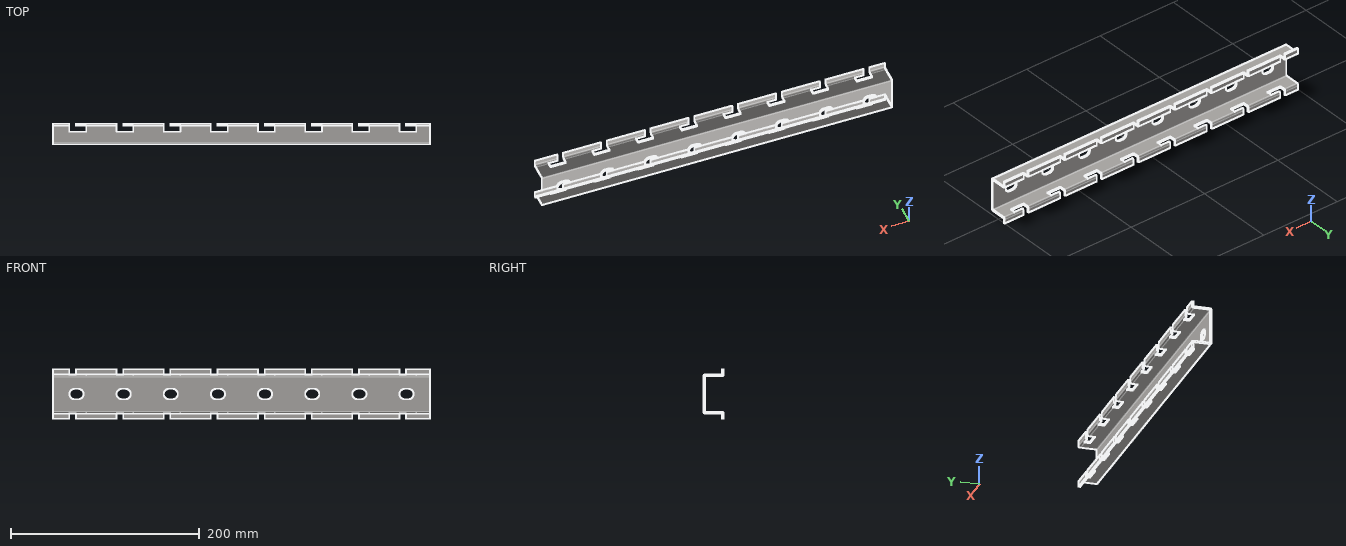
import cadquery as cq

length = 400.0
depth = 22.0
height = 53.0

thickness = 2.0
lip_height = 5.5
web_inner_radius = 0.5
web_outer_radius = web_inner_radius + thickness
lip_outer_radius = thickness
channel_height = height - 2 * lip_height

pitch = 50.0
repeat_count = 8
first_hole_x = pitch / 2

hole_length = 15.0
hole_width = 11.0

slot_start = 17.5
slot_length = 17.5
slot_depth = 6.5
gap_width = 7.0

web_front_y = -depth / 2
lip_back_y = depth / 2
lip_front_y = lip_back_y - thickness


def rail_blank():
    """Hat section along X, centred, with rounded bends and sharp inner lip corners."""
    half_channel = channel_height / 2
    inner_half = half_channel - thickness
    web_back_y = web_front_y + thickness
    upper_half = [
        (web_back_y, inner_half),
        (lip_back_y, inner_half),
        (lip_back_y, height / 2),
        (lip_front_y, height / 2),
        (lip_front_y, half_channel),
        (web_front_y, half_channel),
    ]
    lower_half = [(y, -z) for y, z in reversed(upper_half)]
    blank = (
        cq.Workplane("YZ")
        .workplane(offset=-length / 2)
        .polyline(upper_half + lower_half)
        .close()
        .extrude(length)
    )
    for side in (1, -1):
        bends = [
            (web_front_y, half_channel, web_outer_radius),
            (web_back_y, inner_half, web_inner_radius),
            (lip_back_y, inner_half, lip_outer_radius),
        ]
        for y, z, radius in bends:
            corner = cq.NearestToPointSelector((0, y, side * z))
            blank = blank.edges("|X").edges(corner).fillet(radius)
    return blank


def web_holes(centres):
    """Obround cutters that overrun the web by one thickness on each side."""
    return (
        cq.Workplane("XZ", origin=(0, web_front_y + 2 * thickness, 0))
        .pushPoints([(x, 0) for x in centres])
        .slot2D(hole_length, hole_width)
        .extrude(3 * thickness)
    )


def hook_cutouts(centres):
    """Flange slots and lip gaps, cut through both flanges and both lips."""
    slot_offset = slot_start + slot_length / 2 - first_hole_x
    gap_offset = slot_start + gap_width / 2 - first_hole_x
    slots = (
        cq.Workplane("XY")
        .pushPoints([(x + slot_offset, lip_front_y - slot_depth / 2) for x in centres])
        .rect(slot_length, slot_depth)
        .extrude(height, both=True)
    )
    gap_depth = thickness + slot_depth
    gaps = (
        cq.Workplane("XY")
        .pushPoints([(x + gap_offset, lip_back_y - gap_depth / 2) for x in centres])
        .rect(gap_width, gap_depth)
        .extrude(height, both=True)
    )
    return slots, gaps


hole_centres = [-length / 2 + first_hole_x + i * pitch for i in range(repeat_count)]

slots, gaps = hook_cutouts(hole_centres)
result = rail_blank().cut(web_holes(hole_centres)).cut(slots).cut(gaps)